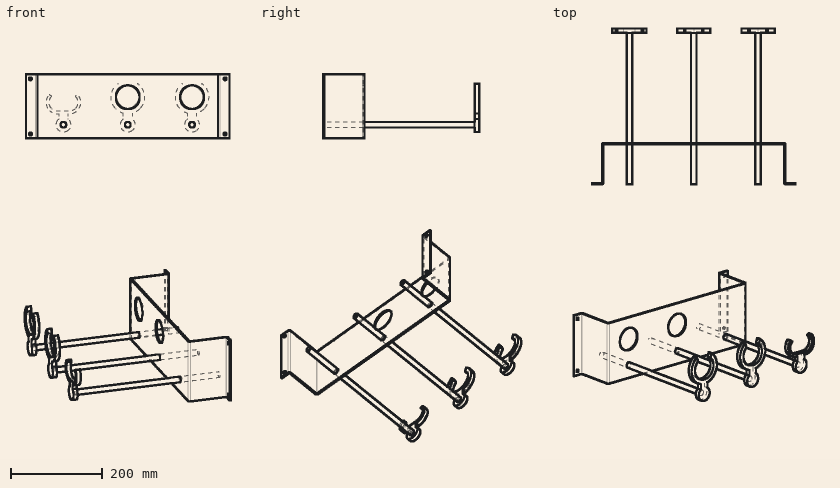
import cadquery as cq
import math

OVERALL_WIDTH = 443.64
BRACKET_HEIGHT = 140.0
BRACKET_DEPTH = 90.0
SHEET = 3.0
BEND_INNER_RADIUS = 1.0
BEND_OUTER_RADIUS = BEND_INNER_RADIUS + SHEET
FLANGE_EDGE = OVERALL_WIDTH / 2
WALL_OUTER = 200.0
WALL_INNER = WALL_OUTER - SHEET

MOUNT_HOLE_DIAMETER = 5.5
MOUNT_HOLE_INSET = 10.0

STATION_PITCH = 140.0
ROD_HEIGHT = 30.0
ROD_DIAMETER = 12.5
ROD_LENGTH = 330.0

OPENING_DIAMETER = 51.0
RING_HEIGHT = 90.0

CLIP_THICKNESS = 10.0
FOOT_RADIUS = 16.0
NECK_WIDTH = 20.0

RING_OUTER_RADIUS = 36.5
RING_BAND = 10.0
RING_OUTER_TIP_ANGLE = 54.0
RING_INNER_TIP_ANGLE = 48.0

WIDE_ARC_RADIUS = 25.0
WIDE_BAND = 6.0
WIDE_BASE_LENGTH = 25.0
WIDE_ARC_HEIGHT = RING_HEIGHT - RING_OUTER_RADIUS + WIDE_ARC_RADIUS
WIDE_OUTER_TIP_ANGLE = 43.0
WIDE_INNER_TIP_ANGLE = 46.0

WIDE_STATION = -STATION_PITCH
ROUND_STATIONS = (0.0, STATION_PITCH)
STATIONS = (WIDE_STATION, *ROUND_STATIONS)


def plate(y_start, thickness):
    """Return a start for an outline in X and Z whose extrusion runs towards +Y, and its distance."""
    return cq.Workplane("XZ", origin=(0, y_start, 0)), -thickness


def cylinder(x, z, diameter, y_start, length):
    start, distance = plate(y_start, length)
    return start.center(x, z).circle(diameter / 2).extrude(distance)


def arc_point(x, z, radius, degrees):
    angle = math.radians(degrees)
    return (x + radius * math.cos(angle), z + radius * math.sin(angle))


def make_bracket():
    bend_edge = WALL_INNER + BEND_OUTER_RADIUS
    half = (
        cq.Workplane("XY")
        .moveTo(0, BRACKET_DEPTH)
        .lineTo(WALL_OUTER - BEND_OUTER_RADIUS, BRACKET_DEPTH)
        .radiusArc((WALL_OUTER, BRACKET_DEPTH - BEND_OUTER_RADIUS), BEND_OUTER_RADIUS)
        .lineTo(WALL_OUTER, BEND_OUTER_RADIUS)
        .radiusArc((bend_edge, SHEET), -BEND_INNER_RADIUS)
        .lineTo(FLANGE_EDGE, SHEET)
        .lineTo(FLANGE_EDGE, 0)
        .lineTo(bend_edge, 0)
        .radiusArc((WALL_INNER, BEND_OUTER_RADIUS), BEND_OUTER_RADIUS)
        .lineTo(WALL_INNER, BRACKET_DEPTH - BEND_OUTER_RADIUS)
        .radiusArc((WALL_INNER - BEND_INNER_RADIUS, BRACKET_DEPTH - SHEET), -BEND_INNER_RADIUS)
        .lineTo(0, BRACKET_DEPTH - SHEET)
        .close()
        .extrude(BRACKET_HEIGHT)
    )
    bracket = half.union(half.mirror("YZ"))
    back_wall = BRACKET_DEPTH - SHEET
    for x in ROUND_STATIONS:
        bracket = bracket.cut(cylinder(x, RING_HEIGHT, OPENING_DIAMETER, back_wall, SHEET))
    for x in STATIONS:
        bracket = bracket.cut(cylinder(x, ROD_HEIGHT, ROD_DIAMETER, back_wall, SHEET))
    hole_x = FLANGE_EDGE - MOUNT_HOLE_INSET
    for x in (-hole_x, hole_x):
        for z in (MOUNT_HOLE_INSET, BRACKET_HEIGHT - MOUNT_HOLE_INSET):
            bracket = bracket.cut(cylinder(x, z, MOUNT_HOLE_DIAMETER, 0, SHEET))
    return bracket


def make_rod(x):
    return cylinder(x, ROD_HEIGHT, ROD_DIAMETER, 0, ROD_LENGTH).translate((0, 0, 0))


def make_clip(x, arc_height, outer_radius, band, base_length, outer_tip_angle, inner_tip_angle):
    """Return a clip whose ring is two arcs, set base_length apart and joined by a flat base."""
    inner_radius = outer_radius - band
    arc_x = base_length / 2
    neck_x = NECK_WIDTH / 2
    foot_top = ROD_HEIGHT + math.sqrt(FOOT_RADIUS**2 - neck_x**2)
    neck_reach = max(neck_x - arc_x, 0)
    neck_top = arc_height - math.sqrt(outer_radius**2 - neck_reach**2)
    inner_mid_angle = (inner_tip_angle - 90) / 2
    start, distance = plate(ROD_LENGTH, CLIP_THICKNESS)

    outline = (
        start.moveTo(0, ROD_HEIGHT - FOOT_RADIUS)
        .threePointArc((FOOT_RADIUS, ROD_HEIGHT), (neck_x, foot_top))
        .lineTo(neck_x, neck_top)
    )
    if arc_x > neck_x:
        outline = outline.lineTo(arc_x, neck_top)
    outline = (
        outline.threePointArc(
            arc_point(arc_x, arc_height, outer_radius, 0),
            arc_point(arc_x, arc_height, outer_radius, outer_tip_angle),
        )
        .lineTo(*arc_point(arc_x, arc_height, inner_radius, inner_tip_angle))
        .threePointArc(
            arc_point(arc_x, arc_height, inner_radius, inner_mid_angle),
            (arc_x, arc_height - inner_radius),
        )
    )
    if arc_x > 0:
        outline = outline.lineTo(0, arc_height - inner_radius)
    return outline.mirrorY().extrude(distance, clean=arc_x > 0).translate((x, 0, 0))


def make_wide_clip(x):
    return make_clip(
        x,
        arc_height=WIDE_ARC_HEIGHT,
        outer_radius=WIDE_ARC_RADIUS,
        band=WIDE_BAND,
        base_length=WIDE_BASE_LENGTH,
        outer_tip_angle=WIDE_OUTER_TIP_ANGLE,
        inner_tip_angle=WIDE_INNER_TIP_ANGLE,
    )


def make_round_clip(x):
    return make_clip(
        x,
        arc_height=RING_HEIGHT,
        outer_radius=RING_OUTER_RADIUS,
        band=RING_BAND,
        base_length=0,
        outer_tip_angle=RING_OUTER_TIP_ANGLE,
        inner_tip_angle=RING_INNER_TIP_ANGLE,
    )


bracket = make_bracket()
rods = [make_rod(x) for x in STATIONS]
wide_clip = make_wide_clip(WIDE_STATION)
round_clips = [make_round_clip(x) for x in ROUND_STATIONS]

result = cq.Compound.makeCompound(
    [
        bracket.val(),
        *[rod.val() for rod in rods],
        wide_clip.val(),
        *[clip.val() for clip in round_clips],
    ]
)